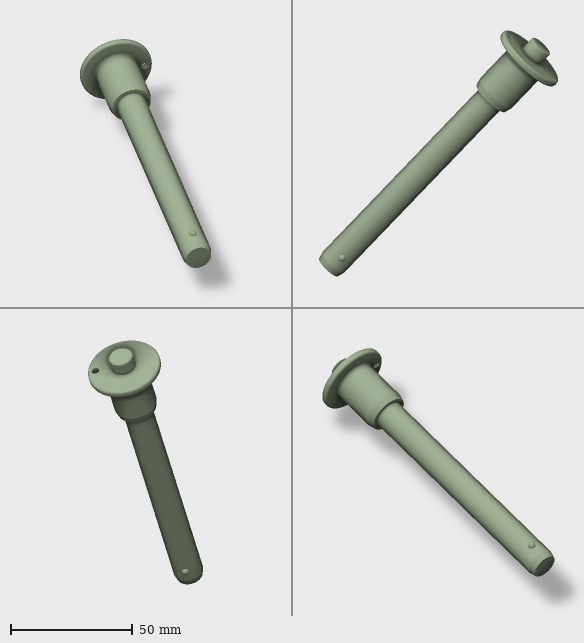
import cadquery as cq
import math


shaft_length = 100.0
shaft_radius = 6.2

grip_length = 25.0
grip_radius = 9.0
flange_thickness = 3.0
flange_radius = 15.3
flange_edge_fillet = 1.0
flange_root_fillet = 1.0

button_length = 6.0
button_radius = 5.0
button_chamfer = 0.4

taper_length = 3.0
taper_angle = 15.0

lanyard_hole_diameter = 3.2
lanyard_hole_offset = 12.0

ball_radius = 1.5
ball_protrusion = 1.25
ball_from_tip = 8.3

flange_inner_x = -(grip_length - flange_thickness)
flange_outer_x = -grip_length
button_end_x = flange_outer_x - button_length
ball_x = shaft_length - ball_from_tip
taper_drop = taper_length * math.tan(math.radians(taper_angle))
ball_height = shaft_radius + ball_protrusion - ball_radius


def make_pin_profile():
    """Half outline of the pin, from the button end to the shaft tip."""
    return (
        cq.Workplane("XY")
        .moveTo(button_end_x, 0)
        .lineTo(button_end_x, button_radius - button_chamfer)
        .lineTo(button_end_x + button_chamfer, button_radius)
        .lineTo(flange_outer_x, button_radius)
        .lineTo(flange_outer_x, flange_radius - flange_edge_fillet)
        .tangentArcPoint((flange_edge_fillet, flange_edge_fillet))
        .lineTo(flange_inner_x - flange_edge_fillet, flange_radius)
        .tangentArcPoint((flange_edge_fillet, -flange_edge_fillet))
        .lineTo(flange_inner_x, grip_radius + flange_root_fillet)
        .tangentArcPoint((flange_root_fillet, -flange_root_fillet))
        .lineTo(-taper_length, grip_radius)
        .lineTo(0, grip_radius - taper_drop)
        .lineTo(0, shaft_radius)
        .lineTo(shaft_length - taper_length, shaft_radius)
        .lineTo(shaft_length, shaft_radius - taper_drop)
        .lineTo(shaft_length, 0)
        .close()
    )


def make_lanyard_hole():
    """Cylinder through the flange, beside the grip."""
    return (
        cq.Workplane("YZ", origin=(flange_outer_x, lanyard_hole_offset, 0))
        .circle(lanyard_hole_diameter / 2)
        .extrude(flange_thickness)
    )


def make_ball(side):
    """Locking ball above (side = 1) or below (side = -1) the shaft axis."""
    return cq.Workplane("XY", origin=(ball_x, 0, side * ball_height)).sphere(ball_radius)


def make_pin(balls):
    """Shaft, grip, flange and button in one body, with a seat cut for each ball."""
    pin = make_pin_profile().revolve(360, (0, 0, 0), (1, 0, 0))
    pin = pin.cut(make_lanyard_hole())
    for ball in balls:
        pin = pin.cut(ball)
    return pin


balls = [make_ball(side) for side in (1, -1)]
pin = make_pin(balls)

result = cq.Compound.makeCompound([pin.val(), *[ball.val() for ball in balls]])